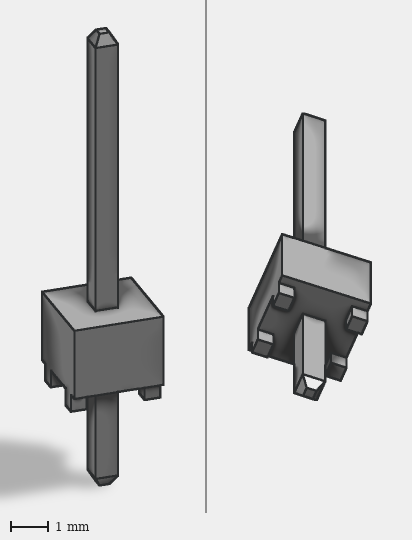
import cadquery as cq

total_length = 13.46
housing_width = 2.55
housing_height = 2.03
housing_bottom = 3.28

pin_width = 0.65
tip_width = 0.28
tip_length = 0.31

foot_size = 0.45
foot_height = 0.5
foot_center_x = 0.8
foot_center_y = (housing_width - foot_size) / 2


def make_pin():
    """Square pin along Z, tapered to a smaller square at both ends."""
    shaft_length = total_length - 2 * tip_length
    shaft = cq.Workplane("XY").workplane(offset=tip_length).rect(pin_width, pin_width).extrude(shaft_length)
    top_tip = (
        shaft.faces(">Z").workplane()
        .rect(pin_width, pin_width)
        .workplane(offset=tip_length)
        .rect(tip_width, tip_width)
        .loft(combine=False)
    )
    bottom_tip = (
        cq.Workplane("XY")
        .rect(tip_width, tip_width)
        .workplane(offset=tip_length)
        .rect(pin_width, pin_width)
        .loft()
    )
    return shaft.union(top_tip).union(bottom_tip)


def make_housing():
    """Square block on four feet, with a through hole that fits the pin."""
    base = cq.Workplane("XY").workplane(offset=housing_bottom)
    block = base.rect(housing_width, housing_width).extrude(housing_height)
    feet = (
        base.rect(2 * foot_center_x, 2 * foot_center_y, forConstruction=True)
        .vertices()
        .rect(foot_size, foot_size)
        .extrude(-foot_height)
    )
    pin_hole = base.rect(pin_width, pin_width).extrude(housing_height)
    return block.union(feet).cut(pin_hole)


pin = make_pin()
housing = make_housing()

result = cq.Compound.makeCompound([housing.val(), pin.val()])